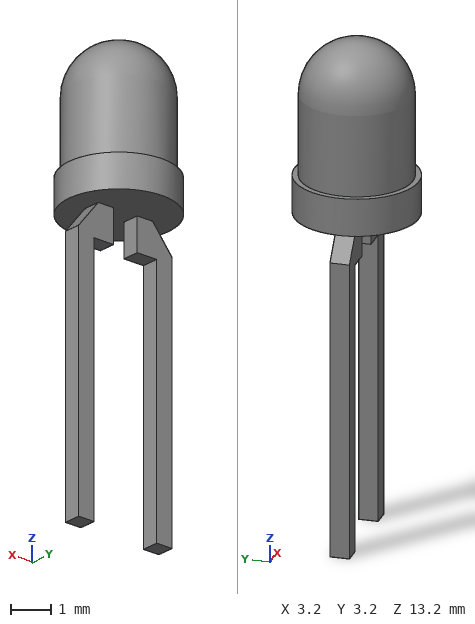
import cadquery as cq

total_height = 13.25

lens_height = 4.6
flange_diameter = 3.2
flange_height = 1.0
barrel_diameter = 2.9

lead_pitch = 2.55
lead_thickness = 0.5
shoulder_inner_x = 0.38
shoulder_outer_top_x = 0.89
shoulder_depth = 1.0
slope_depth = 0.8

flange_bottom = total_height - lens_height
flange_top = flange_bottom + flange_height
flange_radius = flange_diameter / 2
dome_radius = barrel_diameter / 2
dome_base = total_height - dome_radius
dome_mid = dome_radius * 0.5**0.5
lead_inner_x = (lead_pitch - lead_thickness) / 2
lead_outer_x = (lead_pitch + lead_thickness) / 2


def make_lens():
    """Flanged barrel with a dome top, revolved about the vertical axis."""
    profile = (
        cq.Workplane("XZ")
        .moveTo(0, flange_bottom)
        .lineTo(flange_radius, flange_bottom)
        .lineTo(flange_radius, flange_top)
        .lineTo(dome_radius, flange_top)
        .lineTo(dome_radius, dome_base)
        .threePointArc((dome_mid, dome_base + dome_mid), (0, total_height))
        .close()
    )
    return profile.revolve(360, (0, 0, 0), (0, 1, 0))


def make_lead(side):
    """One lead, on the +X side for side = 1 and on the -X side for side = -1."""
    step_z = flange_bottom - shoulder_depth
    outline = [
        (side * shoulder_inner_x, flange_bottom),
        (side * shoulder_outer_top_x, flange_bottom),
        (side * lead_outer_x, flange_bottom - slope_depth),
        (side * lead_outer_x, 0),
        (side * lead_inner_x, 0),
        (side * lead_inner_x, step_z),
        (side * shoulder_inner_x, step_z),
    ]
    return cq.Workplane("XZ").polyline(outline).close().extrude(lead_thickness / 2, both=True)


lens = make_lens()
leads = [make_lead(side) for side in (-1, 1)]

result = cq.Compound.makeCompound([lens.val(), *[lead.val() for lead in leads]])